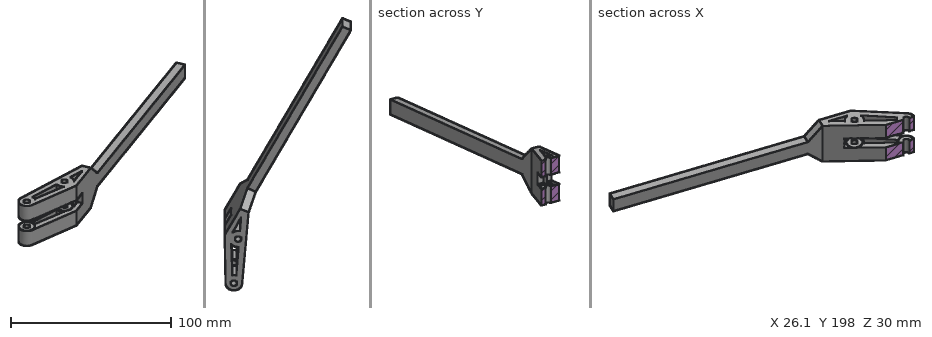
import cadquery as cq
import math

length = 198.0
width = 26.1
fork_height = 30.0

shaft_width = 6.0
shaft_height = 10.0
flare_length = (fork_height - shaft_height) / 2

tip_diameter = 10.5
fork_end_y = 50.5
bend_y = 28.7
hole_diameter = 4.0
pivot_holes = [(0, 0), (12.0, 30.0)]

gap_height = 7.7
gap_depth = 43.2

pad_diameter = 10.0
pad_height = 0.2

window_corners = [(17.5, 45.0), (17.5, 30.5), (2.0, 2.0), (-0.4, 2.0)]
eye_radius = 6.0

tip_radius = tip_diameter / 2
right_x = width - tip_radius
left_x = right_x - shaft_width
flare_end_y = fork_end_y + flare_length
shaft_end_y = length - tip_radius


def tip_tangent(x, y, side):
    """Point where a line from (x, y) touches the tip, on the left (side 1) or right (side -1)."""
    angle = math.atan2(y, x) + side * math.acos(tip_radius / math.hypot(x, y))
    return tip_radius * math.cos(angle), tip_radius * math.sin(angle)


def prism(sketch):
    """Extrude a plan outline over the full fork height, centred on mid height."""
    return sketch.extrude(fork_height / 2, both=True)


def make_fork():
    left_tangent = tip_tangent(left_x, fork_end_y, 1)
    right_tangent = tip_tangent(right_x, bend_y, -1)
    outline = (
        cq.Workplane("XY")
        .moveTo(left_x, fork_end_y)
        .lineTo(*left_tangent)
        .threePointArc((0, -tip_radius), right_tangent)
        .lineTo(right_x, bend_y)
        .lineTo(right_x, fork_end_y)
        .close()
    )
    return prism(outline)


def make_shaft():
    """Shaft and flare, drawn in side profile and extruded across the shaft width."""
    profile = [
        (fork_end_y, fork_height / 2),
        (flare_end_y, shaft_height / 2),
        (shaft_end_y, shaft_height / 2),
        (shaft_end_y, -shaft_height / 2),
        (flare_end_y, -shaft_height / 2),
        (fork_end_y, -fork_height / 2),
    ]
    side_plane = cq.Workplane("YZ", origin=(left_x, 0, 0))
    return side_plane.polyline(profile).close().extrude(shaft_width)


def hole_discs(diameter):
    """Plan circles of one diameter, centred on both pivot holes."""
    return cq.Workplane("XY").pushPoints(pivot_holes).circle(diameter / 2)


def make_gap():
    """Space between the prongs, narrowed where the pads stand proud."""
    gap = cq.Workplane("XY").box(2 * width, gap_depth, gap_height)
    gap = gap.translate((0, gap_depth / 2 - tip_radius, 0))
    pads = prism(hole_discs(pad_diameter))
    pad_clearance = gap_height - 2 * pad_height
    pads = pads.cut(cq.Workplane("XY").box(4 * width, length, pad_clearance))
    return gap.cut(pads)


def make_windows():
    opening = prism(cq.Workplane("XY").polyline(window_corners).close())
    return opening.cut(prism(hole_discs(2 * eye_radius)))


result = make_fork().union(make_shaft())
result = result.cut(make_gap())
result = result.cut(make_windows())
result = result.cut(prism(hole_discs(hole_diameter)))